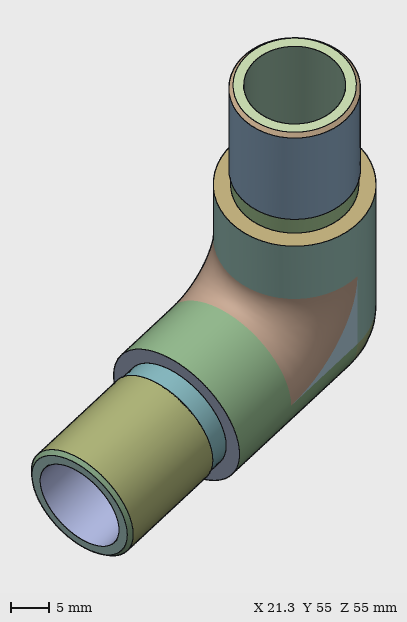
import cadquery as cq

overall_size = 55.0
body_diameter = 21.3
spigot_diameter = 17.2
neck_diameter = 16.8
bore_diameter = 13.3
body_length = 24.35
neck_length = 3.0
inner_fillet = 3.0
end_chamfer = 0.55

body_radius = body_diameter / 2
arm_length = overall_size - body_radius
neck_end = body_length + neck_length
bend_radius = body_radius + inner_fillet

ARM_SWAP_NORMAL = (0, 1, 1)
OUTER_SIDE = 1
INNER_SIDE = -1


def half_disc(diameter, side, height):
    """Half of a circular section of the upright arm, at a given height."""
    radius = diameter / 2
    return (
        cq.Workplane("XY", origin=(0, 0, height))
        .moveTo(-radius, 0)
        .threePointArc((0, side * radius), (radius, 0))
        .close()
    )


def rod(diameter, start, end):
    """Full cylinder on the axis of the upright arm."""
    return cq.Workplane("XY", origin=(0, 0, start)).circle(diameter / 2).extrude(end - start)


def round_corner(diameter):
    """Quarter sphere that closes the outside corner between the two arms."""
    return half_disc(diameter, OUTER_SIDE, 0).revolve(90, (0, 0), (-1, 0))


def inside_bend():
    """Quarter turn of the inner half section, blending the inside corner."""
    return half_disc(body_diameter, INNER_SIDE, bend_radius).revolve(
        90, (0, -bend_radius), (-1, -bend_radius)
    )


def flat_web():
    """Flat-sided core between the arm axes and the bend centreline."""
    arc_middle = bend_radius * (1 - 0.5 ** 0.5)
    return (
        cq.Workplane("YZ")
        .lineTo(-bend_radius, 0)
        .threePointArc((-arc_middle, arc_middle), (0, bend_radius))
        .close()
        .extrude(body_radius, both=True)
    )


def upright_body():
    """Thick part of the upright arm; its inner half starts above the bend."""
    outer = half_disc(body_diameter, OUTER_SIDE, 0).extrude(body_length)
    inner = half_disc(body_diameter, INNER_SIDE, bend_radius).extrude(body_length - bend_radius)
    return outer.union(inner)


def upright_spigot():
    """Recessed neck and chamfered spigot of the upright arm."""
    neck = rod(neck_diameter, body_length, neck_end)
    spigot = rod(spigot_diameter, neck_end, arm_length).faces(">Z").chamfer(end_chamfer)
    return neck.union(spigot)


def upright_bore():
    """Bore of the upright arm, from the corner to the open end."""
    return rod(bore_diameter, 0, arm_length)


def both_arms(upright):
    """Upright feature together with its copy on the horizontal arm."""
    return upright.union(upright.mirror(ARM_SWAP_NORMAL))


elbow = flat_web().union(inside_bend())
elbow = elbow.union(both_arms(upright_body()))
elbow = elbow.union(round_corner(body_diameter))
elbow = elbow.union(both_arms(upright_spigot()))

bore = both_arms(upright_bore()).union(round_corner(bore_diameter))

result = elbow.cut(bore)